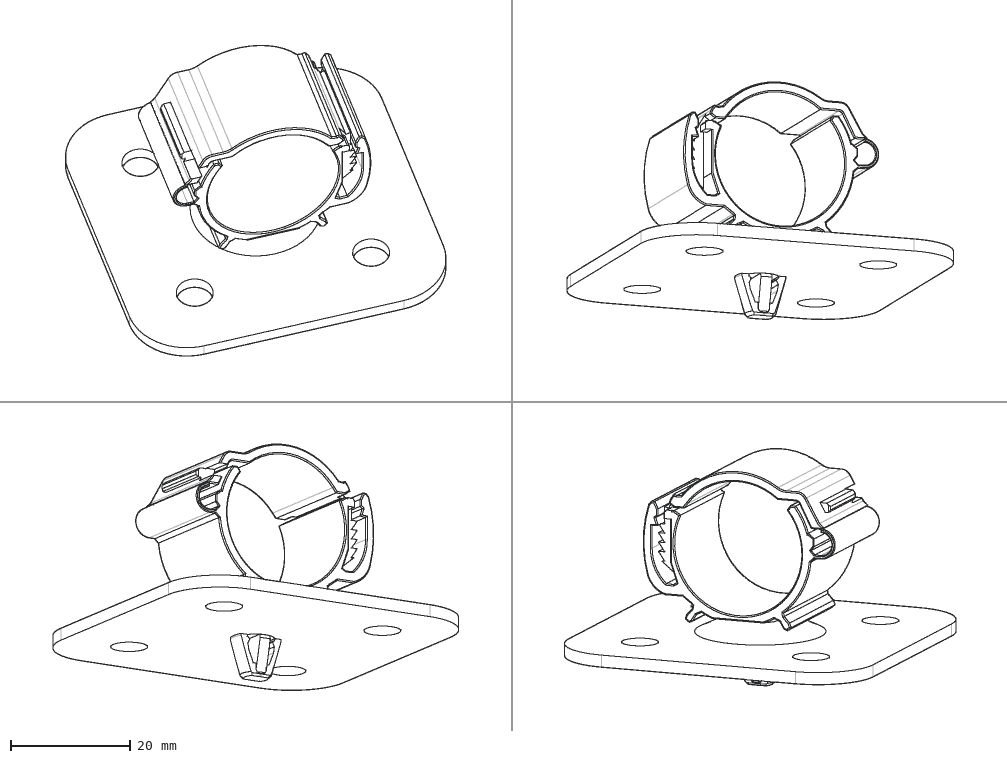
import cadquery as cq
import math

PLATE_SIZE = 55.0
PLATE_THICKNESS = 2.1
PLATE_CORNER_RADIUS = 10.0
MOUNT_HOLE_DIAMETER = 6.15
MOUNT_HOLE_OFFSET = 15.45
SHANK_RADIUS = 3.15

BAND_WIDTH = 20.0
BAND_CHAMFER = 0.2
BORE_RADIUS = 11.5
RING_RADIUS = 13.2
RING_CENTER_Z = 18.2

POST_FACE_Y = 12.2
POST_TOP_Z = 23.8
TONGUE_ROOM_Y = 13.3
HINGE_POST_TOP_Z = 26.35
RING_FLAT_HALF_WIDTH = 4.6
RING_FLAT_Z = 5.9

LID_FLAT_TOP_Z = 28.8
LID_FLAT_UNDERSIDE_Z = 27.2
LID_END_Z = 22.7
LID_END_INNER_Y = -13.2
LID_END_OUTER_Y = -15.2
HOOK_UNDERSIDE_Z = 24.35
LID_VALLEY_RADIUS = 2.75
LID_CORNER_RADIUS = 1.85
LID_INNER_CORNER_RADIUS = 0.8

HINGE_CENTER_Y = -14.95
HINGE_CENTER_Z = 20.25
HINGE_OUTER_RADIUS = 2.6
HINGE_THICKNESS = 0.6
HINGE_CHAMFER = 0.15

TONGUE_WIDTH = 14.75
TONGUE_INNER_Y = 12.7
TOOTH_ROOT_Y = 14.3
TOOTH_TIP_Y = 15.4
TOOTH_COUNT = 4
TOOTH_PITCH = 1.6
FIRST_TOOTH_Z = 20.8

GRIP_LENGTH = 11.55
GRIP_CHAMFER = 0.3
SLOT_BOTTOM_Z = 24.15
SLOT_TOP_Z = 26.45
SLOT_DEPTH_Y = -11.55

DISC_RADIUS = 11.0
DISC_TOP_RADIUS = 4.75
DISC_TOP_Z = 5.05
PEG_LENGTH = 6.9
PEG_ROOT_Z = -4.75
PEG_ROOT_HALF_WIDTH = 1.55
LEG_WIDTH = 3.5
LEG_TIP_CHAMFER = 0.4
BLADE_THICKNESS = 2.0


def circle_z(radius, y, side):
    """Height of a ring circle at Y; side is +1 for its upper half and -1 for its lower half."""
    return RING_CENTER_Z + side * math.sqrt(radius**2 - y**2)


def circle_y(radius, z):
    """Distance of a ring circle from the Z axis at height z."""
    return math.sqrt(radius**2 - (z - RING_CENTER_Z) ** 2)


def extrude_across(outline, width):
    """Extrude a closed YZ outline along X, centred on X = 0."""
    return outline.extrude(width / 2, both=True)


def polygon_across(points, width):
    return extrude_across(cq.Workplane("YZ").polyline(points).close(), width)


def chamfer_ends(body, size):
    return body.faces("<X or >X").edges().chamfer(size)


def make_ring():
    """Lower ring, open at the top, with a thinner end post behind the latch."""
    bore_bottom = (0, RING_CENTER_Z - BORE_RADIUS)
    flat_z = circle_z(RING_RADIUS, RING_FLAT_HALF_WIDTH, -1)
    hinge_side = (-RING_RADIUS, RING_CENTER_Z)
    arm_y = 8.25
    side_y = 6.6
    post_lip_y = 10.4
    post_inner_z = 25.5
    outline = (
        cq.Workplane("YZ")
        .moveTo(-circle_y(RING_RADIUS, HINGE_POST_TOP_Z), HINGE_POST_TOP_Z)
        .threePointArc(hinge_side, (-RING_FLAT_HALF_WIDTH, flat_z))
        .lineTo(RING_FLAT_HALF_WIDTH, flat_z)
        .threePointArc(
            (side_y, circle_z(RING_RADIUS, side_y, -1)),
            (arm_y, circle_z(RING_RADIUS, arm_y, -1)),
        )
        .lineTo(10.9, 11.0)
        .lineTo(POST_FACE_Y, 14.85)
        .lineTo(POST_FACE_Y, POST_TOP_Z)
        .lineTo(11.55, POST_TOP_Z)
        .lineTo(post_lip_y, circle_z(BORE_RADIUS, post_lip_y, 1))
        .threePointArc(bore_bottom, (-circle_y(BORE_RADIUS, post_inner_z), post_inner_z))
        .lineTo(-9.45, HINGE_POST_TOP_Z)
        .close()
    )
    return extrude_across(outline, BAND_WIDTH)


def make_lid():
    """Upper half of the band, from the latch hook over the top to the hinge flank."""
    crown_end_z = 26.5
    bore_hook_z = 25.2
    valley = (-circle_y(RING_RADIUS, LID_FLAT_TOP_Z), LID_FLAT_TOP_Z)
    outer_corner = (-11.75, LID_FLAT_TOP_Z)
    inner_corner = (-10.9, LID_FLAT_UNDERSIDE_Z)
    bore_flat_y = -circle_y(BORE_RADIUS, LID_FLAT_UNDERSIDE_Z)
    bore_hook_y = circle_y(BORE_RADIUS, bore_hook_z)
    outline = (
        cq.Workplane("YZ")
        .moveTo(circle_y(RING_RADIUS, crown_end_z), crown_end_z)
        .threePointArc((0, RING_CENTER_Z + RING_RADIUS), valley)
        .lineTo(*outer_corner)
        .lineTo(-14.7, 23.7)
        .lineTo(-15.45, 23.0)
        .lineTo(LID_END_OUTER_Y, LID_END_Z)
        .lineTo(LID_END_INNER_Y, LID_END_Z)
        .lineTo(*inner_corner)
        .lineTo(bore_flat_y, LID_FLAT_UNDERSIDE_Z)
        .threePointArc((0, RING_CENTER_Z + BORE_RADIUS), (bore_hook_y, bore_hook_z))
        .lineTo(9.8, HOOK_UNDERSIDE_Z)
        .lineTo(11.55, HOOK_UNDERSIDE_Z)
        .lineTo(12.5, 25.0)
        .lineTo(12.25, 25.7)
        .lineTo(11.6, 26.6)
        .lineTo(11.1, 26.4)
        .close()
    )
    lid = extrude_across(outline, BAND_WIDTH)
    rounded_corners = (
        (valley, LID_VALLEY_RADIUS),
        (outer_corner, LID_CORNER_RADIUS),
        (inner_corner, LID_INNER_CORNER_RADIUS),
    )
    for corner, radius in rounded_corners:
        lid = lid.edges(cq.selectors.NearestToPointSelector((0, *corner))).fillet(radius)
    return lid


def make_hinge():
    """Thin loop that joins the lid flank to the ring, with the heel it springs from."""
    inner_radius = HINGE_OUTER_RADIUS - HINGE_THICKNESS
    bottom_z = HINGE_CENTER_Z - HINGE_OUTER_RADIUS
    heel_y = -13.85
    strip = (
        cq.Workplane("YZ")
        .moveTo(HINGE_CENTER_Y, HINGE_CENTER_Z + HINGE_OUTER_RADIUS)
        .threePointArc((HINGE_CENTER_Y - HINGE_OUTER_RADIUS, HINGE_CENTER_Z), (HINGE_CENTER_Y, bottom_z))
        .lineTo(heel_y, bottom_z)
        .lineTo(heel_y, bottom_z + HINGE_THICKNESS)
        .lineTo(HINGE_CENTER_Y, bottom_z + HINGE_THICKNESS)
        .threePointArc(
            (HINGE_CENTER_Y - inner_radius, HINGE_CENTER_Z),
            (HINGE_CENTER_Y, HINGE_CENTER_Z + inner_radius),
        )
        .close()
    )
    heel = [
        (-12.4, 21.9),
        (-12.65, 21.9),
        (-13.75, 21.0),
        (-13.75, 19.7),
        (-13.2, 19.0),
        (heel_y, bottom_z + HINGE_THICKNESS),
        (heel_y, bottom_z),
        (-13.1, 16.95),
        (-12.4, 16.95),
    ]
    return extrude_across(strip, BAND_WIDTH).union(polygon_across(heel, BAND_WIDTH))


def make_arm():
    """Curved outer arm that guards the latch and catches its teeth."""
    outline = (
        cq.Workplane("YZ")
        .moveTo(7.4, 8.0)
        .lineTo(8.25, 8.0)
        .lineTo(10.0, 9.25)
        .lineTo(13.2, 9.25)
        .threePointArc((15.05, 10.3), (16.45, 12.55))
        .tangentArcPoint((16.15, 24.55), relative=False)
        .lineTo(15.6, 25.1)
        .lineTo(15.05, 25.1)
        .lineTo(14.45, 23.85)
        .lineTo(14.45, 22.65)
        .lineTo(14.9, 22.35)
        .lineTo(14.45, 21.0)
        .lineTo(15.55, 20.9)
        .lineTo(15.55, 17.05)
        .tangentArcPoint((13.0, 11.15), relative=False)
        .lineTo(11.65, 11.1)
        .lineTo(10.55, 11.75)
        .lineTo(9.35, 11.0)
        .close()
    )
    return extrude_across(outline, BAND_WIDTH)


def make_foot(side):
    """Small stabilising foot under the ring; side is +1 or -1 along Y."""
    points = [(7.15, 7.7), (8.15, 8.15), (8.3, 7.25), (9.3, 6.2), (9.55, 5.45)]
    points += [(8.85, 4.85), (8.25, 5.1), (7.55, 6.3), (6.3, 6.9)]
    return polygon_across([(side * y, z) for y, z in points], BAND_WIDTH)


def make_tongue():
    """Toothed latch tongue that hangs from the middle of the lid hook."""
    points = [(11.3, 26.1), (11.6, 26.6), (13.35, 23.9), (13.55, 23.55), (TOOTH_ROOT_Y, 23.75)]
    for index in range(TOOTH_COUNT):
        tooth_z = FIRST_TOOTH_Z - index * TOOTH_PITCH
        points += [(TOOTH_ROOT_Y, tooth_z), (TOOTH_TIP_Y, tooth_z)]
    points += [(TOOTH_ROOT_Y, FIRST_TOOTH_Z - TOOTH_COUNT * TOOTH_PITCH), (14.75, 14.35)]
    points += [(TONGUE_INNER_Y, 12.7), (TONGUE_INNER_Y, 23.75)]
    points += [(12.25, HOOK_UNDERSIDE_Z), (11.3, HOOK_UNDERSIDE_Z)]
    return polygon_across(points, TONGUE_WIDTH)


def make_post_lips():
    """Outward lips of the ring end, one on each side of the tongue."""
    root_y = POST_FACE_Y - 0.3
    lip = [
        (root_y, 22.35),
        (TONGUE_ROOM_Y, 22.35),
        (TONGUE_ROOM_Y, 23.45),
        (12.9, POST_TOP_Z),
        (root_y, POST_TOP_Z),
    ]
    side_gap = 0.15
    tongue_room = cq.Workplane("XY").box(TONGUE_WIDTH + 2 * side_gap, PLATE_SIZE, 2 * PLATE_SIZE)
    return polygon_across(lip, BAND_WIDTH).cut(tongue_room)


def make_grip():
    """Finger ridge on the lid flank."""
    outline = (
        cq.Workplane("YZ")
        .moveTo(-12.85, 26.4)
        .lineTo(-14.35, 26.35)
        .lineTo(-14.95, 25.8)
        .lineTo(-14.95, 25.2)
        .lineTo(-14.7, 24.8)
        .lineTo(-13.75, 24.65)
        .close()
    )
    grip = extrude_across(outline, GRIP_LENGTH)
    return grip.faces("<Y").edges("<X or >X").chamfer(GRIP_CHAMFER)


def make_slot():
    """Slot through the lid flank, from the end of the grip out to the +X side."""
    start_x = GRIP_LENGTH / 2
    slot = cq.Workplane("XY").box(
        BAND_WIDTH / 2 - start_x,
        PLATE_SIZE / 2 + SLOT_DEPTH_Y,
        SLOT_TOP_Z - SLOT_BOTTOM_Z,
        centered=False,
    )
    return slot.translate((start_x, -PLATE_SIZE / 2, SLOT_BOTTOM_Z))


def make_saddle():
    """Block under the ring whose ends slope down to the top of the disc."""
    points = [
        (-BAND_WIDTH / 2, RING_FLAT_Z),
        (-DISC_TOP_RADIUS, DISC_TOP_Z),
        (DISC_TOP_RADIUS, DISC_TOP_Z),
        (BAND_WIDTH / 2, RING_FLAT_Z),
    ]
    return cq.Workplane("XZ").polyline(points).close().extrude(RING_FLAT_HALF_WIDTH, both=True)


def revolve_about_z(profile):
    return cq.Workplane("XZ").polyline(profile).close().revolve(360, (0, 0), (0, 1))


def make_disc():
    """Conical disc on the plate and the shank that fills the plate hole."""
    profile = [
        (0, 0),
        (SHANK_RADIUS, 0),
        (SHANK_RADIUS, PLATE_THICKNESS),
        (DISC_RADIUS, PLATE_THICKNESS),
        (DISC_TOP_RADIUS, DISC_TOP_Z),
        (0, DISC_TOP_Z),
    ]
    return revolve_about_z(profile)


def make_peg():
    """Snap peg: a centre blade across X and two sprung legs, joined at the tip."""
    leg_cone = [(0, 0), (4.3, 0), (4.3, -0.3), (2.65, -6.3), (2.1, -PEG_LENGTH), (0, -PEG_LENGTH)]
    blade_cone = [(0, 0), (3.1, 0), (3.25, -0.6), (1.9, -6.2), (1.45, -PEG_LENGTH), (0, -PEG_LENGTH)]
    leg_block = (
        cq.Workplane("XY")
        .box(LEG_WIDTH, PLATE_SIZE, PEG_LENGTH, centered=(True, True, False))
        .translate((0, 0, -PEG_LENGTH))
        .edges("|Y and <Z")
        .chamfer(LEG_TIP_CHAMFER)
    )
    gap = [
        (-2.7, 0),
        (-2.65, -0.35),
        (-2.2, -0.7),
        (-2.6, -1.45),
        (-2.4, -2.55),
        (-PEG_ROOT_HALF_WIDTH, PEG_ROOT_Z),
    ]
    gap += [(-y, z) for y, z in reversed(gap)]
    legs = revolve_about_z(leg_cone).intersect(leg_block).cut(polygon_across(gap, PLATE_SIZE))
    blade_block = cq.Workplane("XY").box(PLATE_SIZE, BLADE_THICKNESS, PLATE_SIZE)
    blade = revolve_about_z(blade_cone).intersect(blade_block)
    return legs.union(blade)


def make_clip():
    base = make_ring().union(make_arm())
    for side in (1, -1):
        base = base.union(make_foot(side))
    base = chamfer_ends(base, BAND_CHAMFER)
    lid = chamfer_ends(make_lid(), BAND_CHAMFER)
    hinge = chamfer_ends(make_hinge(), HINGE_CHAMFER)
    band = base.union(lid.cut(make_slot())).union(hinge)
    clip = band.union(make_grip()).union(make_post_lips()).union(make_tongue())
    return clip.union(make_saddle()).union(make_disc()).union(make_peg())


def make_plate():
    plate = (
        cq.Workplane("XY")
        .rect(PLATE_SIZE, PLATE_SIZE)
        .extrude(PLATE_THICKNESS)
        .edges("|Z")
        .fillet(PLATE_CORNER_RADIUS)
    )
    mount_holes = (
        cq.Workplane("XY")
        .rect(2 * MOUNT_HOLE_OFFSET, 2 * MOUNT_HOLE_OFFSET, forConstruction=True)
        .vertices()
        .circle(MOUNT_HOLE_DIAMETER / 2)
        .extrude(PLATE_THICKNESS)
    )
    shank_hole = cq.Workplane("XY").circle(SHANK_RADIUS).extrude(PLATE_THICKNESS)
    return plate.cut(mount_holes).cut(shank_hole)


plate = make_plate()
clip = make_clip()

result = cq.Compound.makeCompound([plate.val(), *clip.vals()])